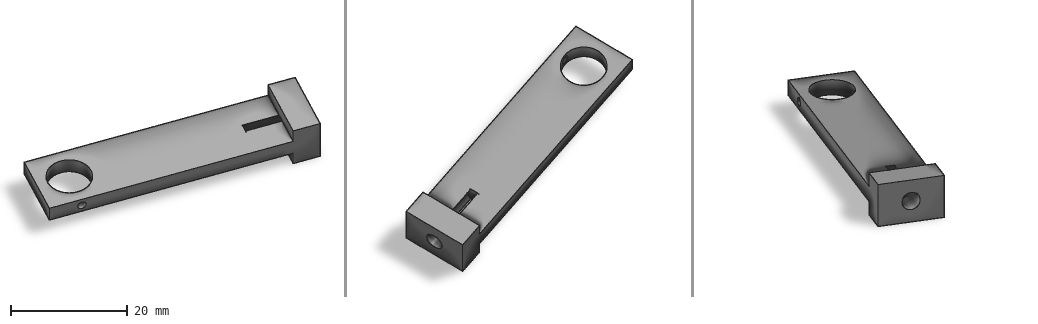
import cadquery as cq

length = 50.0
width = 12.0
plate_thickness = 2.9

head_length = 5.0
head_height = 8.0

ring_diameter = 8.0
ring_center_y = width / 2

bore_diameter = 3.25
bore_depth = 11.75

cross_diameter = 1.55


def make_plate():
    return cq.Workplane("XY").box(width, length, plate_thickness).translate((0, length / 2, 0))


def make_head():
    head = cq.Workplane("XY").box(width, head_length, head_height)
    return head.translate((0, length - head_length / 2, 0))


def make_ring_hole():
    hole = cq.Workplane("XY").cylinder(plate_thickness, ring_diameter / 2)
    return hole.translate((0, ring_center_y, 0))


def make_bore():
    bore = cq.Workplane("XZ", origin=(0, length, 0)).circle(bore_diameter / 2)
    return bore.extrude(bore_depth)


def make_cross_hole():
    hole = cq.Workplane("YZ", origin=(0, ring_center_y, 0)).circle(cross_diameter / 2)
    return hole.extrude(width / 2)


body = make_plate().union(make_head())
result = body.cut(make_ring_hole()).cut(make_bore()).cut(make_cross_hole())